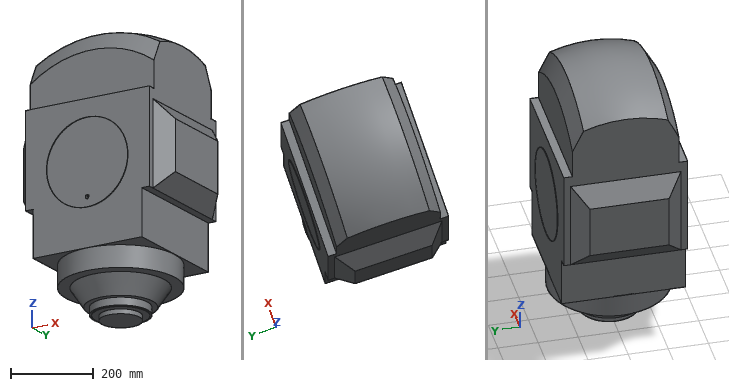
import cadquery as cq

total_height = 717.0
shoulder_top = 524.0
shoulder_bottom = 267.5
neck_bottom = 142.0
flange_bottom = 84.0
cone_bottom = 34.5
collar_bottom = 14.0
rim_bottom = 12.0

shoulder_width = 351.0
body_size = 308.0
head_depth = 265.0
axis_height = 361.0

dome_radius = total_height - axis_height
crown_depth = 210.0
head_edge_radius = 294.0

cover_diameter = 230.0
cover_thickness = 1.8
pin_hole_diameter = 10.0
pin_hole_offset = 89.0
pin_hole_depth = 7.0

overall_width = 430.0
pad_depth = 274.5
pad_height = 229.0
pad_depth_taper = 39.0
pad_height_taper = 46.5

flange_diameter = 306.0
cone_top_diameter = 246.0
cone_bottom_diameter = 179.0
collar_diameter = 151.0
rim_diameter = 142.0
tip_diameter = 106.0


def make_box(width, depth, bottom, top):
    """Box centred on the Z axis between two heights."""
    return cq.Workplane("XY").workplane(offset=bottom).rect(width, depth).extrude(top - bottom)


def make_head():
    """Head trimmed by a solid of revolution about the horizontal Y axis."""
    half_depth = head_depth / 2
    half_crown = crown_depth / 2
    crown_edge_radius = (dome_radius**2 - half_crown**2) ** 0.5
    envelope = (
        cq.Workplane("YZ")
        .moveTo(-half_depth, 0)
        .lineTo(-half_depth, head_edge_radius)
        .lineTo(-half_crown, crown_edge_radius)
        .threePointArc((0, dome_radius), (half_crown, crown_edge_radius))
        .lineTo(half_depth, head_edge_radius)
        .lineTo(half_depth, 0)
        .close()
        .revolve(360, (0, 0), (1, 0))
        .translate((0, 0, axis_height))
    )
    block = make_box(shoulder_width, head_depth, axis_height, total_height)
    return block.intersect(envelope)


def make_side_pad():
    """Tapered pad on the +X side."""
    pad_length = (overall_width - shoulder_width) / 2
    return (
        cq.Workplane("YZ", origin=(shoulder_width / 2, 0, shoulder_bottom + pad_height / 2))
        .rect(pad_depth, pad_height)
        .workplane(offset=pad_length)
        .rect(pad_depth - 2 * pad_depth_taper, pad_height - 2 * pad_height_taper)
        .loft(ruled=True)
    )


def make_lower_end():
    """Flange, cone, collar and tip turned about the Z axis."""
    levels = [
        (flange_diameter, neck_bottom),
        (flange_diameter, flange_bottom),
        (cone_top_diameter, flange_bottom),
        (cone_bottom_diameter, cone_bottom),
        (collar_diameter, cone_bottom),
        (collar_diameter, collar_bottom),
        (rim_diameter, collar_bottom),
        (rim_diameter, rim_bottom),
        (tip_diameter, rim_bottom),
        (tip_diameter, 0),
    ]
    outline = [(diameter / 2, height) for diameter, height in levels]
    return (
        cq.Workplane("XZ")
        .polyline([(0, neck_bottom)] + outline + [(0, 0)])
        .close()
        .revolve(360, (0, 0), (0, 1))
    )


def make_covers():
    """One disc through the housing that stands proud at the front and back."""
    length = body_size + 2 * cover_thickness
    return (
        cq.Workplane("XZ", origin=(0, 0, axis_height))
        .circle(cover_diameter / 2)
        .extrude(length / 2, both=True)
    )


def make_pin_hole():
    """Shallow blind hole in the front cover, below its centre."""
    cover_face = body_size / 2 + cover_thickness
    return (
        cq.Workplane("XZ", origin=(0, -cover_face, axis_height - pin_hole_offset))
        .circle(pin_hole_diameter / 2)
        .extrude(-pin_hole_depth)
    )


shoulder = make_box(shoulder_width, body_size, shoulder_bottom, shoulder_top)
neck = make_box(body_size, body_size, neck_bottom, shoulder_bottom)
side_pad = make_side_pad()

result = (
    shoulder.union(neck)
    .union(make_head())
    .union(side_pad)
    .union(side_pad.mirror("YZ"))
    .union(make_lower_end())
    .union(make_covers())
    .cut(make_pin_hole())
)